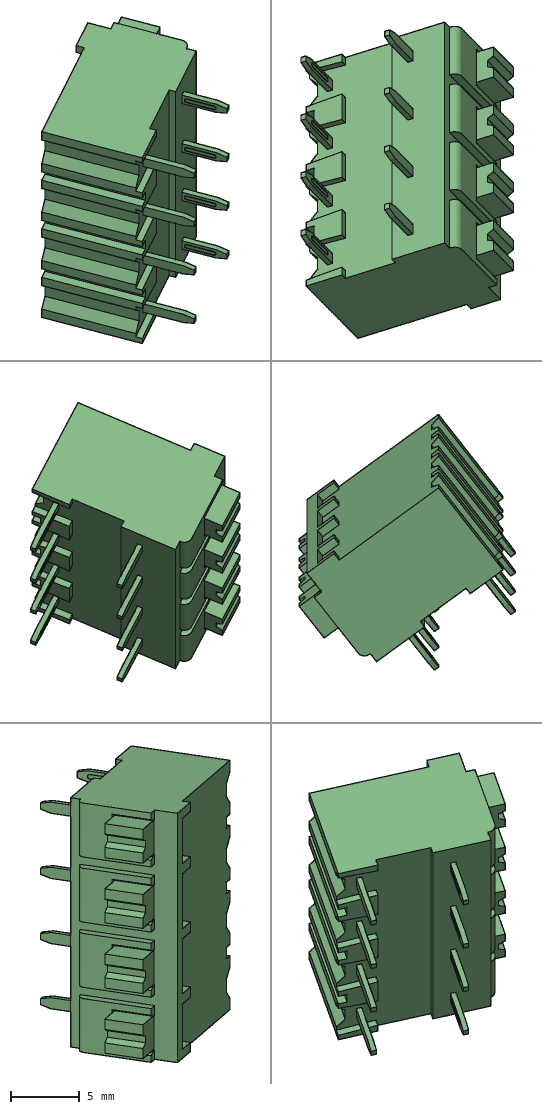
import cadquery as cq


cell_count = 4
height = 19.44
cell_height = 4.2
pitch = (height - cell_height) / (cell_count - 1)
cell_gap = pitch - cell_height
cell_centres = [cell_height / 2 + i * pitch for i in range(cell_count)]
gap_centres = [z + pitch / 2 for z in cell_centres[:-1]]

keyed_face_x = 0.62
pin_face_x = 8.42
housing_top_y = 11.55

frame_bottom_y = 10.58
key_bottom_y = 9.08
key_height = 0.8
end_key_height = 0.72

notch_depth = 0.5
notch_low_y = 3.0
notch_high_y = 7.15

groove_depth = 0.66
groove_mouth = 2.45
groove_floor = 1.05

recess_mouth = 3.15
recess_end = 2.84

boss_start_x = 1.79
boss_end_x = 7.65
boss_top_y = 12.23
boss_radius = 0.6

button_start_x = 1.85
button_end_x = 4.86
button_top_y = 13.65
button_height = 2.65
button_clearance = 0.08
slot_flare = 0.17
slot_flare_start_y = 11.94
screw_notch_depth = 0.5
screw_notch_mouth = 1.05
screw_notch_floor = 0.5

pin_tip_x = 11.9
pin_taper_x = 11.06
pin_height = 0.87
pin_tip_height = 0.47
pin_thickness = 0.4
front_pin_y = 1.71
back_pin_y = 8.69
pad_start_x = 8.61
pad_height = 0.35
pad_thickness = 0.04


def block(x0, x1, y0, y1, z0, z1):
    """Box between two opposite corners."""
    return cq.Workplane("XY").box(x1 - x0, y1 - y0, z1 - z0, centered=False).translate((x0, y0, z0))


def prism_along_x(points, x0, x1):
    """Closed (Y, Z) outline pushed from x0 to x1."""
    return cq.Workplane("YZ").workplane(offset=x0).polyline(points).close().extrude(x1 - x0)


def trapezoid(y0, height0, y1, height1, z):
    """(Y, Z) outline centred on z, height0 tall at y0 and height1 tall at y1."""
    return [
        (y0, z - height0 / 2),
        (y1, z - height1 / 2),
        (y1, z + height1 / 2),
        (y0, z + height0 / 2),
    ]


def make_housing():
    """Plain housing with its frame and keys on one side and the notch on the other."""
    housing = block(keyed_face_x, pin_face_x, 0, housing_top_y, 0, height)
    housing = housing.union(block(0, keyed_face_x, frame_bottom_y, housing_top_y, 0, height))
    key_spans = [(z - key_height / 2, z + key_height / 2) for z in gap_centres]
    key_spans += [(0, end_key_height), (height - end_key_height, height)]
    for z0, z1 in key_spans:
        housing = housing.union(block(0, keyed_face_x, key_bottom_y, housing_top_y, z0, z1))
    return housing.cut(block(pin_face_x - notch_depth, pin_face_x, notch_low_y, notch_high_y, 0, height))


def make_groove(z):
    """Flat-bottomed V groove across the grooved face of a cell."""
    return prism_along_x(trapezoid(0, groove_mouth, groove_depth, groove_floor, z), 0, pin_face_x)


def make_gap(z):
    """Square slot in the grooved face between two cells."""
    return block(0, pin_face_x, 0, groove_depth, z - cell_gap / 2, z + cell_gap / 2)


def make_recess(z):
    """Tapered recess in the pin face, from the grooved face into the notch."""
    outline = trapezoid(0, recess_mouth, notch_low_y, recess_end, z)
    return prism_along_x(outline, pin_face_x - notch_depth, pin_face_x)


def make_boss(z):
    """Boss with one rounded edge and an open slot for the button."""
    outline = trapezoid(housing_top_y, cell_height, boss_top_y, cell_height, z)
    boss = prism_along_x(outline, boss_start_x, boss_end_x)
    boss = boss.edges(">X and >Y").fillet(boss_radius)
    slot_height = button_height + 2 * button_clearance
    slot_mouth = slot_height + 2 * slot_flare
    slot_outline = trapezoid(housing_top_y, slot_height, boss_top_y, slot_height, z)
    flare_outline = trapezoid(slot_flare_start_y, slot_height, boss_top_y, slot_mouth, z)
    slot = prism_along_x(slot_outline, boss_start_x, button_end_x)
    flare = prism_along_x(flare_outline, boss_start_x, button_end_x)
    return boss.cut(slot).cut(flare)


def make_button(z):
    """Button with a tapered notch across its top."""
    outline = trapezoid(housing_top_y, button_height, button_top_y, button_height, z)
    button = prism_along_x(outline, button_start_x, button_end_x)
    notch_floor_y = button_top_y - screw_notch_depth
    notch = trapezoid(notch_floor_y, screw_notch_floor, button_top_y, screw_notch_mouth, z)
    return button.cut(prism_along_x(notch, button_start_x, button_end_x))


def make_pin(y, z, pad_side):
    """Flat tapered pin with a round-ended pad on its +Y (pad_side 1) or -Y (pad_side -1) face."""
    pin = (
        cq.Workplane("XZ", origin=(0, y, z))
        .polyline([
            (pin_face_x - notch_depth, -pin_height / 2),
            (pin_taper_x, -pin_height / 2),
            (pin_tip_x, -pin_tip_height / 2),
            (pin_tip_x, pin_tip_height / 2),
            (pin_taper_x, pin_height / 2),
            (pin_face_x - notch_depth, pin_height / 2),
        ])
        .close()
        .extrude(pin_thickness / 2, both=True)
    )
    pad = (
        cq.Workplane("XZ", origin=((pad_start_x + pin_taper_x) / 2, y, z))
        .slot2D(pin_taper_x - pad_start_x, pad_height)
        .extrude(-pad_side * (pin_thickness / 2 + pad_thickness))
    )
    return pin.union(pad)


result = make_housing()
for gap_z in gap_centres:
    result = result.cut(make_gap(gap_z))
for cell_z in cell_centres:
    result = result.cut(make_groove(cell_z)).cut(make_recess(cell_z))
    result = result.union(make_boss(cell_z)).union(make_button(cell_z))
    result = result.union(make_pin(front_pin_y, cell_z, 1))
    result = result.union(make_pin(back_pin_y, cell_z, -1))